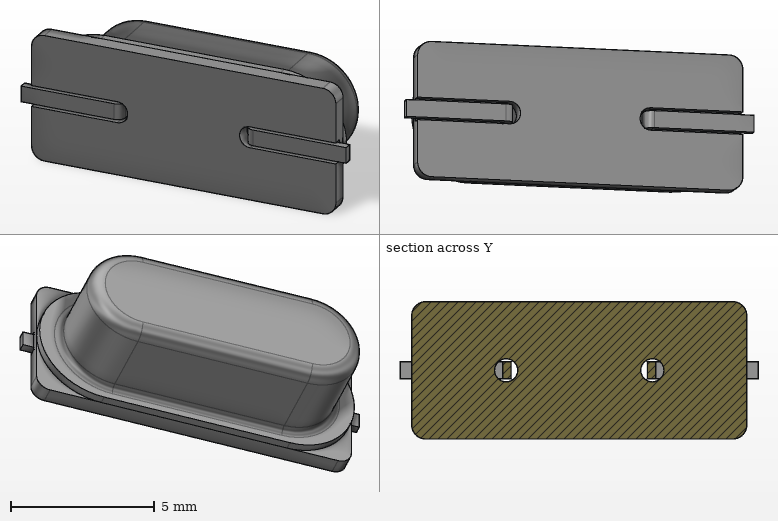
import cadquery as cq


overall_length = 12.5
overall_depth = 4.0
overall_height = 4.8

plate_length = 11.7
plate_corner_radius = 0.5
plate_thickness = 0.6

lead_thickness = 0.3
lead_width = 0.6
lead_bend_radius = 0.3
lead_inner_x = 2.37

groove_width = 0.8
hole_radius = groove_width / 2
hole_x = 2.55

flange_thickness = 0.3
flange_back = plate_thickness + flange_thickness
can_length = 10.1
can_height = 3.8
can_rise = overall_depth - flange_back
can_top_fillet = 0.5
can_root_fillet = 0.25


def plane_at(y):
    """Sketch plane at depth y, with local x along X, local y along Z and its normal along -Y."""
    return cq.Workplane("XZ", origin=(0, y, 0))


def make_lead(side):
    """Lead lying in its groove, then bent to run through the plate; side is -1 or 1 along X."""
    outer_x = side * overall_length / 2
    inner_x = side * lead_inner_x
    leg_outer_x = side * (lead_inner_x + lead_thickness)
    return (
        cq.Workplane("XY", origin=(0, 0, -lead_width / 2))
        .moveTo(outer_x, 0)
        .lineTo(inner_x + side * lead_bend_radius, 0)
        .radiusArc((inner_x, lead_bend_radius), side * lead_bend_radius)
        .lineTo(inner_x, plate_thickness)
        .lineTo(leg_outer_x, plate_thickness)
        .lineTo(leg_outer_x, lead_thickness)
        .lineTo(outer_x, lead_thickness)
        .close()
        .extrude(lead_width)
    )


def make_lead_cavity(side):
    """Groove open at the plate end, as deep as the lead, ending in a round hole through the plate."""
    groove_length = overall_length / 2 - hole_x
    groove = (
        plane_at(lead_thickness)
        .center(side * (hole_x + groove_length / 2), 0)
        .rect(groove_length, groove_width)
        .extrude(lead_thickness)
    )
    hole = plane_at(plate_thickness).center(side * hole_x, 0).circle(hole_radius).extrude(plate_thickness)
    return groove.union(hole)


def make_base():
    """Rounded plate with a lead resting on the floor of each groove."""
    base = (
        plane_at(plate_thickness)
        .rect(plate_length, overall_height)
        .extrude(plate_thickness)
        .edges("|Y")
        .fillet(plate_corner_radius)
    )
    for side in (-1, 1):
        base = base.cut(make_lead_cavity(side)).union(make_lead(side))
    return base


def make_can():
    """Round-ended cap rising from a round-ended flange, with a rounded top and root."""
    flange = plane_at(flange_back).slot2D(plate_length, overall_height).extrude(flange_thickness)
    cap = plane_at(flange_back).slot2D(can_length, can_height).extrude(-can_rise)
    cap = cap.faces(">Y").edges().fillet(can_top_fillet)
    can = flange.union(cap)
    shoulder = can.faces("|Y").faces("<Y[1]").val()
    root_loop = shoulder.innerWires()[0]
    return can.newObject(root_loop.Edges()).fillet(can_root_fillet)


base = make_base()
can = make_can()

result = cq.Compound.makeCompound([base.val(), can.val()])